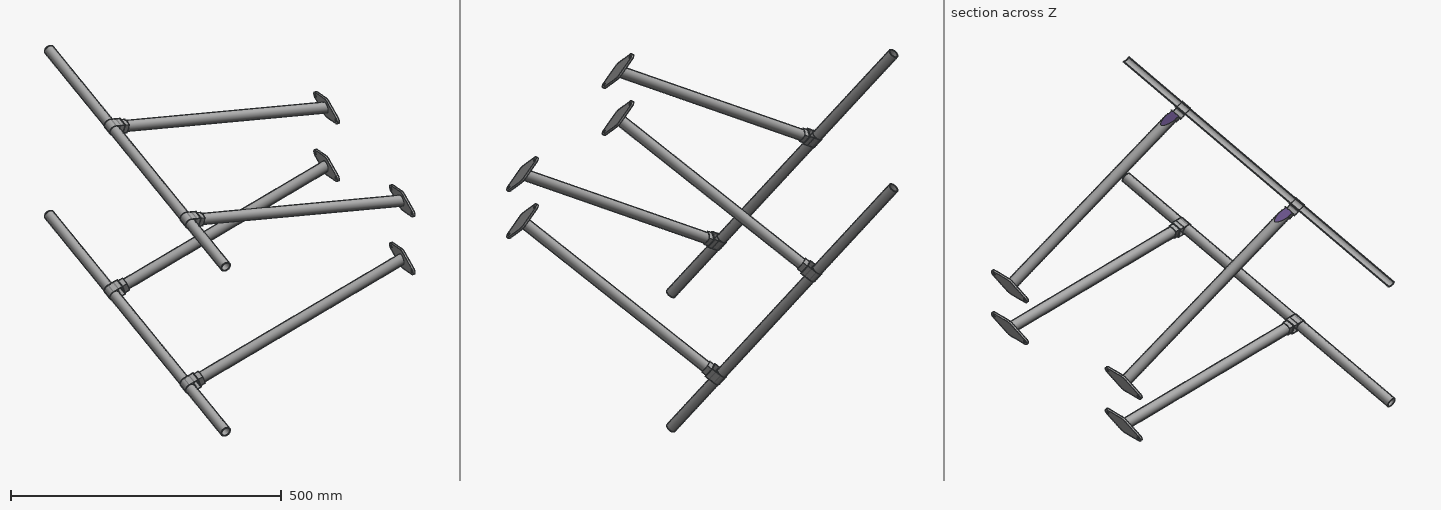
import cadquery as cq
import math

bar_length = 700.0
bar_bore = 16.0
bar_wall = 1.9
bar_spacing = 400.5

arms_per_bar = 2
first_arm_x = 250.0
arm_spacing = 300.0
arm_diameter = 21.0
plate_spacing = 140.0
wall_distance = 450.0

strap_thickness = 1.0
strap_width = 22.0
strap_fillet = 2.45
strap_reach = 20.0
neck_size = 18.0
neck_length = 10.0

plate_thickness = 4.0
plate_middle_radius = 19.5
plate_end_radius = 7.0
screw_spacing = 80.0
screw_hole = 5.0

bar_diameter = bar_bore + 2 * bar_wall
strap_radius = bar_diameter / 2 + strap_thickness
arm_drop = (bar_spacing - plate_spacing) / 2
arm_tilt = math.degrees(math.atan2(arm_drop, wall_distance))
arm_start = strap_reach + neck_length


def make_bar():
    return cq.Workplane("YZ").circle(bar_diameter / 2).circle(bar_bore / 2).extrude(bar_length)


def clamp_slice(outline):
    """Extrude an outline in the YZ plane to the width of the clamp, centred on the arm."""
    return outline.extrude(strap_width / 2, both=True)


def make_clamp():
    body = clamp_slice(
        cq.Workplane("YZ")
        .moveTo(strap_reach, strap_radius)
        .lineTo(0, strap_radius)
        .threePointArc((-strap_radius, 0), (0, -strap_radius))
        .lineTo(strap_reach, -strap_radius)
        .close()
    )
    opening_depth = strap_reach - strap_thickness
    opening = clamp_slice(cq.Workplane("YZ").center(opening_depth / 2, 0).rect(opening_depth, bar_diameter))
    ring = clamp_slice(cq.Workplane("YZ").circle(strap_radius))
    bar_hole = clamp_slice(cq.Workplane("YZ").circle(bar_diameter / 2))
    opening = opening.cut(ring).edges("|X").edges("<Y").fillet(strap_fillet)
    return body.cut(opening).cut(bar_hole)


def make_neck():
    return cq.Workplane("XZ", origin=(0, strap_reach, 0)).rect(neck_size, neck_size).extrude(-neck_length)


def make_tube():
    """Round arm, long enough to pass through the plate before it is trimmed."""
    tube_end = wall_distance / math.cos(math.radians(arm_tilt)) + arm_diameter
    return (
        cq.Workplane("XZ", origin=(0, arm_start, 0))
        .circle(arm_diameter / 2)
        .extrude(arm_start - tube_end)
    )


def make_plate():
    """Outline made of arcs round three centres, joined by their common tangents."""
    screw_x = screw_spacing / 2
    slope = math.asin((plate_middle_radius - plate_end_radius) / screw_x)
    middle_x = plate_middle_radius * math.sin(slope)
    middle_z = plate_middle_radius * math.cos(slope)
    end_x = screw_x + plate_end_radius * math.sin(slope)
    end_z = plate_end_radius * math.cos(slope)
    tip_x = screw_x + plate_end_radius
    return (
        cq.Workplane("XZ", origin=(0, wall_distance, 0))
        .moveTo(-middle_x, middle_z)
        .threePointArc((0, plate_middle_radius), (middle_x, middle_z))
        .lineTo(end_x, end_z)
        .threePointArc((tip_x, 0), (end_x, -end_z))
        .lineTo(middle_x, -middle_z)
        .threePointArc((0, -plate_middle_radius), (-middle_x, -middle_z))
        .lineTo(-end_x, -end_z)
        .threePointArc((-tip_x, 0), (-end_x, end_z))
        .close()
        .pushPoints([(-screw_x, 0), (screw_x, 0)])
        .circle(screw_hole / 2)
        .extrude(plate_thickness)
    )


def make_arm(side):
    """Clamp, sloping tube and plate, about the bar axis; side is 1 on the upper bar, -1 on the lower."""
    tilted = make_clamp().union(make_neck()).union(make_tube())
    tilted = tilted.rotate((0, 0, 0), (1, 0, 0), -side * arm_tilt)
    behind_wall = cq.Workplane("XY", origin=(0, wall_distance, 0)).box(
        2 * arm_diameter, bar_spacing, 2 * bar_spacing, centered=(True, False, True)
    )
    return tilted.cut(behind_wall).union(make_plate().translate((0, 0, -side * arm_drop)))


bodies = []
for side in (1, -1):
    bar_z = side * bar_spacing / 2
    bodies.append(make_bar().translate((0, 0, bar_z)).val())
    for index in range(arms_per_bar):
        arm_x = first_arm_x + index * arm_spacing
        bodies.append(make_arm(side).translate((arm_x, 0, bar_z)).val())

result = cq.Compound.makeCompound(bodies)